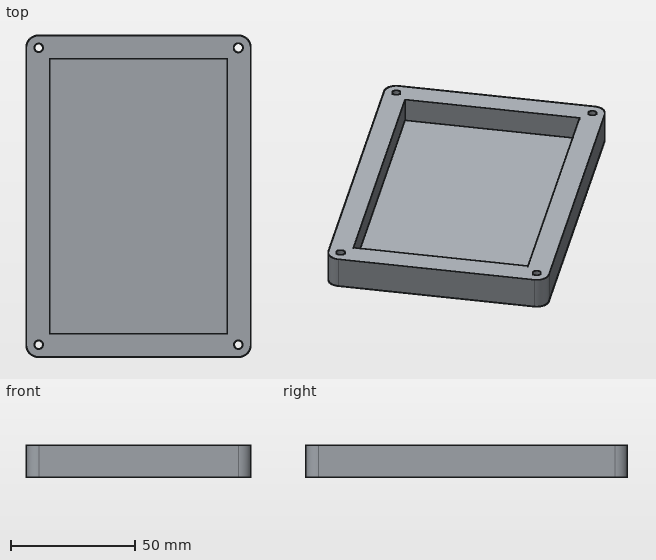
import cadquery as cq

width = 90.5
length = 129.6
height = 13.0
corner_radius = 5.0

rim = 9.5
floor_thickness = 3.0

hole_diameter = 3.4
wide_hole_diameter = 3.6
hole_x = width / 2 - corner_radius
hole_y = length / 2 - corner_radius


def corner_holes(centers, diameter):
    """Cylinders that pass through the full height of the rim."""
    return cq.Workplane("XY").pushPoints(centers).circle(diameter / 2).extrude(height)


block = (
    cq.Workplane("XY")
    .box(width, length, height, centered=(True, True, False))
    .edges("|Z")
    .fillet(corner_radius)
)

pocket = (
    cq.Workplane("XY")
    .workplane(offset=floor_thickness)
    .rect(width - 2 * rim, length - 2 * rim)
    .extrude(height - floor_thickness)
)

standard_holes = corner_holes(
    [(-hole_x, -hole_y), (hole_x, -hole_y), (-hole_x, hole_y)],
    hole_diameter,
)
wide_hole = corner_holes([(hole_x, hole_y)], wide_hole_diameter)

result = block.cut(pocket).cut(standard_holes).cut(wide_hole)